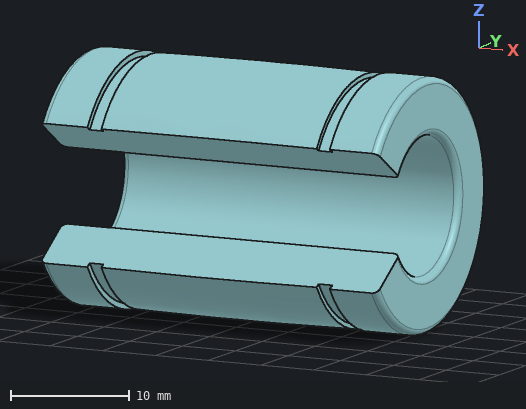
import cadquery as cq
import math

length = 32.0
outer_radius = 11.0
bore_radius = 6.0
edge_fillet = 0.58

groove_offset = 4.5
groove_width = 1.28
groove_radius = 10.5

barrel_edge_radius = 10.9

opening_half_angle = 33.0
wedge_reach = 2 * outer_radius


def sleeve():
    """Revolve the outer profile and bore, centred on the origin."""
    half_length = length / 2
    land_end = half_length - groove_offset
    barrel_end = land_end - groove_width
    profile = (
        cq.Workplane("XY")
        .moveTo(-half_length, bore_radius)
        .lineTo(-half_length, outer_radius)
        .lineTo(-land_end, outer_radius)
        .lineTo(-land_end, groove_radius)
        .lineTo(-barrel_end, groove_radius)
        .lineTo(-barrel_end, barrel_edge_radius)
        .threePointArc((0, outer_radius), (barrel_end, barrel_edge_radius))
        .lineTo(barrel_end, groove_radius)
        .lineTo(land_end, groove_radius)
        .lineTo(land_end, outer_radius)
        .lineTo(half_length, outer_radius)
        .lineTo(half_length, bore_radius)
        .close()
    )
    body = profile.revolve(360, (0, 0, 0), (1, 0, 0))
    return body.faces("<X or >X").edges("%CIRCLE").fillet(edge_fillet)


def opening():
    """Wedge with its tip on the axis, running the full length."""
    half_height = wedge_reach * math.tan(math.radians(opening_half_angle))
    return (
        cq.Workplane("YZ")
        .polyline([(0, 0), (-wedge_reach, half_height), (-wedge_reach, -half_height)])
        .close()
        .extrude(length / 2, both=True)
    )


result = sleeve().cut(opening())